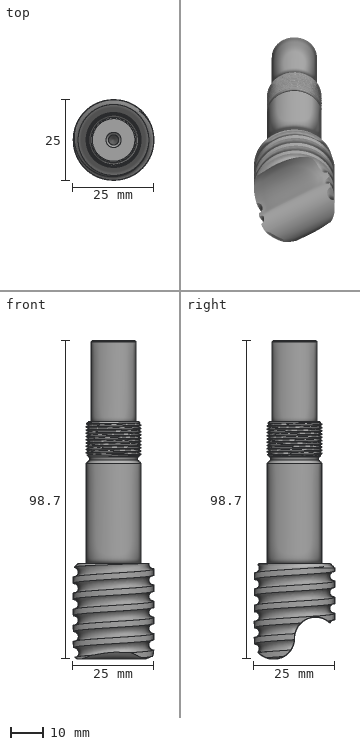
import cadquery as cq
import math

total_length = 98.7

journal_diameter = 14.0
journal_length = 25.0
journal_chamfer = 0.4

center_hole_diameter = 3.15
center_hole_depth = 6.0
countersink_diameter = 4.7
countersink_angle = 60.0
drill_point_angle = 118.0

body_diameter = 17.0
relief_diameter = 14.9
thread_length = 11.0
thread_pitch = 1.0
thread_angle = 60.0
thread_depth = 0.8
thread_groove_offset = 0.7
thread_chamfer = 0.8
body_start = 38.0

worm_diameter = 25.0
worm_length = 29.7
worm_pitch = 5.0
worm_groove_radius = 3.15 / 2
worm_groove_offset = 0.2
worm_groove_turns = 7
worm_chamfer = 1.5

step_arc_radius = 6.5
step_margin = 2.0

flank_steps = 8

journal_radius = journal_diameter / 2
body_radius = body_diameter / 2
relief_radius = relief_diameter / 2
worm_radius = worm_diameter / 2
thread_top = total_length - journal_length
thread_bottom = thread_top - thread_length
body_top = total_length - body_start
cone_top = body_top + body_radius - relief_radius


def polar_point(radius, angle):
    """XY point at a radius and an angle in radians."""
    return (radius * math.cos(angle), radius * math.sin(angle))


def revolve_profile(points):
    """Solid of revolution about Z from (radius, height) points."""
    return cq.Workplane("XZ").polyline(points).close().revolve(360, (0, 0), (0, 1))


def make_chamfer_ring(radius, chamfer, end, inward):
    """Ring cutting a 45-degree chamfer; inward is -1 at an upper end, +1 at a lower one."""
    outer = radius + chamfer
    return revolve_profile([
        (radius - chamfer, end),
        (outer, end),
        (outer, end + inward * 2 * chamfer),
    ])


def make_shaft():
    """Turned profile of journal, thread core, relief and body."""
    profile = [
        (0, worm_length),
        (body_radius, worm_length),
        (body_radius, body_top),
        (relief_radius, cone_top),
        (relief_radius, thread_top),
        (journal_radius, thread_top),
        (journal_radius, total_length - journal_chamfer),
        (journal_radius - journal_chamfer, total_length),
        (0, total_length),
    ]
    return revolve_profile(profile)


def make_center_hole():
    """Drilled hole with a conical bottom and a countersunk mouth."""
    hole_radius = center_hole_diameter / 2
    mouth_radius = countersink_diameter / 2
    sink_depth = (mouth_radius - hole_radius) / math.tan(math.radians(countersink_angle / 2))
    point_depth = hole_radius / math.tan(math.radians(drill_point_angle / 2))
    hole_bottom = total_length - center_hole_depth
    profile = [
        (0, total_length),
        (mouth_radius, total_length),
        (hole_radius, total_length - sink_depth),
        (hole_radius, hole_bottom),
        (0, hole_bottom - point_depth),
    ]
    return revolve_profile(profile)


def make_thread():
    """Threaded collar with a V groove and chamfered ends."""
    root_radius = body_radius - thread_depth
    half_width = thread_depth * math.tan(math.radians(thread_angle / 2))
    half_angle = 2 * math.pi * half_width / thread_pitch
    fractions = [i / flank_steps for i in range(flank_steps + 1)]
    upper_flank = [polar_point(root_radius + thread_depth * f, half_angle * f) for f in fractions]
    lower_flank = [(x, -y) for x, y in reversed(upper_flank)]
    section = (
        cq.Workplane("XY")
        .moveTo(*lower_flank[0])
        .spline(lower_flank[1:], includeCurrent=True)
        .spline(upper_flank[1:], includeCurrent=True)
        .threePointArc((-body_radius, 0), lower_flank[0])
        .close()
    )
    start_angle = 360 * (thread_groove_offset - thread_length) / thread_pitch
    thread = (
        section.twistExtrude(thread_length, 360 * thread_length / thread_pitch)
        .rotate((0, 0, 0), (0, 0, 1), start_angle)
        .translate((0, 0, thread_bottom))
    )
    thread = thread.cut(make_chamfer_ring(body_radius, thread_chamfer, thread_top, -1))
    return thread.cut(make_chamfer_ring(body_radius, thread_chamfer, thread_bottom, 1))


def make_worm():
    """Worm with a semicircular right-hand groove and a chamfered upper rim."""
    start_z = worm_length - worm_groove_offset - (worm_groove_turns - 0.5) * worm_pitch
    helix = cq.Wire.makeHelix(worm_pitch, worm_groove_turns * worm_pitch, worm_radius)
    path = cq.Workplane(obj=helix.translate(cq.Vector(0, 0, start_z)))
    groove = (
        cq.Workplane("XZ")
        .center(worm_radius, start_z)
        .circle(worm_groove_radius)
        .sweep(path, isFrenet=True)
        .rotate((0, 0, 0), (0, 0, 1), 180)
    )
    worm = cq.Workplane("XY").circle(worm_radius).extrude(worm_length).cut(groove)
    return worm.cut(make_chamfer_ring(worm_radius, worm_chamfer, worm_length, -1))


def make_end_step():
    """Region removed from the worm's lower end, below the S-shaped profile."""
    r = step_arc_radius
    outside = worm_radius + step_margin
    arc_end_y = worm_radius - worm_groove_radius
    arc_end_z = r + math.sqrt(r**2 - (arc_end_y - r) ** 2)
    return (
        cq.Workplane("YZ")
        .moveTo(-outside, r)
        .lineTo(-2 * r, r)
        .threePointArc((-r, 0), (0, r))
        .threePointArc((r, 2 * r), (arc_end_y, arc_end_z))
        .lineTo(outside, arc_end_z)
        .lineTo(outside, -step_margin)
        .lineTo(-outside, -step_margin)
        .close()
        .extrude(outside, both=True)
    )


worm = make_worm().cut(make_end_step())
result = make_shaft().union(make_thread()).union(worm).cut(make_center_hole())